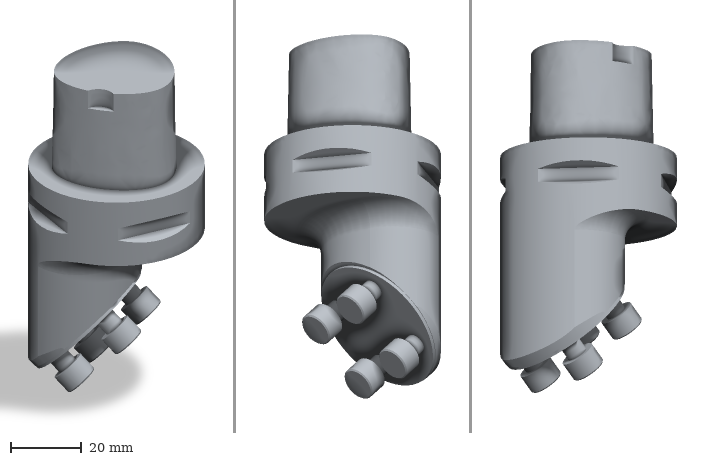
import cadquery as cq
import math

flange_diameter = 50.0
flange_height = 20.0
shank_height = 30.0

shank_base_width = 35.3
shank_top_width = 34.1
lobe_height = 0.9
profile_points = 24
key_radius = 4.5
key_depth = 5.5
key_inner_y = -13.9

groove_z = -flange_height / 2
groove_floor_radius = 22.1
groove_floor_height = 3.7
groove_wall_angle = 28.0

neck_tip_x = 6.5
nose_radius = 25.0
nose_end_x = 2.3
side_radius = 14.1
side_end_angle = math.radians(131)
neck_fillet = 6.7
neck_blank_length = 58.8

face_center_x = -8.0
face_center_z = -50.2
pad_radius = 20.0
pad_thickness = 1.0
trim_radius = 20.2
screw_offset = 9.8
screw_diameter = 6.0
screw_head_diameter = 10.0
screw_head_height = 6.0
screw_length = 10.8
screw_edge_chamfer = 0.4

blank_size = 3 * flange_diameter
face_plane = cq.Plane(origin=(face_center_x, 0, face_center_z), xDir=(1, 0, 1), normal=(1, 0, -1))


def lobed_point(width, angle):
    """Point on a constant-width curve with one lobe towards +Y."""
    support = width / 2 - lobe_height * math.sin(3 * angle)
    slope = -3 * lobe_height * math.cos(3 * angle)
    x = support * math.cos(angle) - slope * math.sin(angle)
    y = support * math.sin(angle) + slope * math.cos(angle)
    return x, y


def lobed_profile(width):
    return [lobed_point(width, 2 * math.pi * i / profile_points) for i in range(profile_points)]


def make_shank():
    shank = (
        cq.Workplane("XY")
        .spline(lobed_profile(shank_base_width), periodic=True).close()
        .workplane(offset=shank_height)
        .spline(lobed_profile(shank_top_width), periodic=True).close()
        .loft(ruled=True)
    )
    key_slot = (
        cq.Workplane("XY", origin=(0, key_inner_y - key_radius, shank_height - key_depth))
        .circle(key_radius).extrude(key_depth)
    )
    return shank.cut(key_slot)


def make_grooves():
    cut_depth = flange_diameter / 2 - groove_floor_radius + 1
    inner = groove_floor_height / 2
    outer = inner + cut_depth * math.tan(math.radians(groove_wall_angle))
    groove = (
        cq.Workplane("XZ", origin=(0, blank_size / 2, groove_z))
        .polyline([
            (groove_floor_radius, -inner),
            (groove_floor_radius + cut_depth, -outer),
            (groove_floor_radius + cut_depth, outer),
            (groove_floor_radius, inner),
        ]).close()
        .extrude(blank_size)
    )
    grooves = cq.Workplane("XY")
    for angle in (45, 135, 225, 315):
        grooves = grooves.add(groove.rotate((0, 0, 0), (0, 0, 1), angle))
    return grooves.combine()


def make_neck_blank():
    """Neck up to the flange underside; its -X end runs to a point outside the flange."""
    nose_center_x = neck_tip_x - nose_radius
    nose_angle = math.acos((nose_end_x - nose_center_x) / nose_radius)
    side_center_x = nose_center_x + (nose_radius - side_radius) * math.cos(nose_angle)
    side_center_y = (nose_radius - side_radius) * math.sin(nose_angle)

    def side_point(angle, sign):
        x = side_center_x + side_radius * math.cos(angle)
        y = side_center_y + side_radius * math.sin(angle)
        return x, sign * y

    side_middle_angle = (nose_angle + side_end_angle) / 2
    end_x, end_y = side_point(side_end_angle, 1)
    rear_point_x = end_x + end_y * math.tan(side_end_angle)
    return (
        cq.Workplane("XY", origin=(0, 0, -flange_height))
        .moveTo(rear_point_x, 0)
        .lineTo(*side_point(side_end_angle, -1))
        .threePointArc(side_point(side_middle_angle, -1), side_point(nose_angle, -1))
        .threePointArc((neck_tip_x, 0), side_point(nose_angle, 1))
        .threePointArc(side_point(side_middle_angle, 1), side_point(side_end_angle, 1))
        .close()
        .extrude(-neck_blank_length)
    )


def make_body():
    """Flange and filleted neck, trimmed to the outer cylinder and the inclined face."""
    plate = (
        cq.Workplane("XY", origin=(0, 0, -flange_height))
        .box(blank_size, blank_size, flange_height, centered=(True, True, False))
    )
    body = plate.union(make_neck_blank())
    reach = blank_size / 3
    body = body.edges(cq.selectors.BoxSelector(
        (-reach, -reach, -flange_height - 1), (reach, reach, -flange_height + 1)
    )).fillet(neck_fillet)
    outer_cylinder = (
        cq.Workplane("XY").circle(flange_diameter / 2).extrude(-flange_height - neck_blank_length)
    )
    below_face = (
        cq.Workplane(face_plane).workplane(offset=-pad_thickness)
        .rect(blank_size, blank_size).extrude(blank_size)
    )
    below_flange = (
        cq.Workplane("XY", origin=(0, 0, -flange_height))
        .rect(blank_size, blank_size).extrude(-blank_size)
    )
    return body.intersect(outer_cylinder).cut(below_face.intersect(below_flange))


def make_tip_trim():
    """Material outside a cylinder around the pad on the lower half of the inclined face."""
    trim = (
        cq.Workplane(face_plane).center(-blank_size / 4, 0)
        .rect(blank_size / 2, blank_size).extrude(-pad_radius)
    )
    return trim.cut(cq.Workplane(face_plane).circle(trim_radius).extrude(-pad_radius))


def make_pad():
    return cq.Workplane(face_plane).circle(pad_radius).extrude(-pad_thickness)


def make_screws():
    spots = [(u, v) for u in (-screw_offset, screw_offset) for v in (-screw_offset, screw_offset)]
    shanks = (
        cq.Workplane(face_plane).workplane(offset=-pad_thickness).pushPoints(spots)
        .circle(screw_diameter / 2).extrude(screw_length)
    )
    heads = (
        cq.Workplane(face_plane).workplane(offset=screw_length - screw_head_height).pushPoints(spots)
        .circle(screw_head_diameter / 2).extrude(screw_head_height)
        .faces(cq.selectors.DirectionMinMaxSelector(face_plane.zDir, True)).edges()
        .chamfer(screw_edge_chamfer)
    )
    return shanks.union(heads)


body = make_body().cut(make_grooves()).cut(make_tip_trim())
result = body.union(make_shank()).union(make_pad()).union(make_screws())